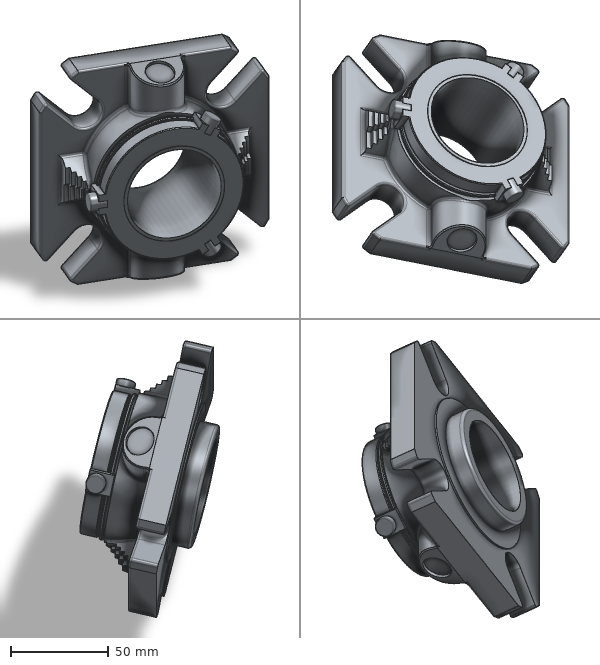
import cadquery as cq
import math

flange_side = 124.5
flange_thickness = 15.0
flange_edge_round = 1.2

overall_length = 57.6
rear_face_x = -10.8
front_face_x = rear_face_x + overall_length
bore_dia = 50.8
rear_sleeve_dia = 65.2
rear_sleeve_round = 1.6
front_sleeve_dia = 54.5
pilot_disc_dia = 84.0
pilot_disc_height = 0.9

slot_width = 17.7
slot_center = 37.1
corner_chamfer_start = 41.5
corner_chamfer_slope = 0.64
corner_tip_round = 1.5

hub_base_dia = 80.2
hub_end_dia = 78.9
hub_end_x = 33.1
hub_seam_angle = 45.0
foot_round = 2.1
hub_step_dia = 75.7
seal_ring_dia = 77.2
seal_ring_x = 34.2
seal_ring_end_x = 36.2
seal_ring_chamfer = 0.5

collar_dia = 75.7
collar_x = 37.3
collar_end_x = 46.4
collar_chamfer = 0.5
pad_x = 33.5
pad_width = 11.6
pad_inner_radius = 36.2
pad_outer_radius = 40.8
screw_dia = 10.0
screw_x = 41.8
screw_top_radius = 45.2
screw_edge_round = 0.4
screw_count = 3
first_screw_angle = 180.0

boss_radius = 14.2
boss_center_x = 18.5
boss_root_x = flange_thickness - flange_edge_round
boss_slope = math.radians(20.0)
boss_slope_x = 15.4
boss_rim_chamfer = 0.6
recess_dia = 15.3
recess_depth = 1.9
recess_x = 23.8

rib_center_z = 0.6
rib_base_half_width = 13.6
rib_apex_x = 35.5
rib_tip_round = 5.0
first_step_x = 20.9
step_pitch = 2.55
step_heights = (50.3, 47.8, 45.5, 43.4, 41.7)
step_jog = 0.9

slab_side = 149.4
tolerance = 0.02
edge_places = (0.1, 0.5, 0.9)


def disc(diameter, start_x, end_x):
    return cq.Workplane("YZ").workplane(offset=start_x).circle(diameter / 2).extrude(end_x - start_x)


def hub_radius(x):
    taper = (hub_base_dia - hub_end_dia) / 2 / (hub_end_x - flange_thickness)
    return hub_base_dia / 2 - taper * (x - flange_thickness)


def boss_top(x):
    return flange_side / 2 - (x - boss_slope_x) * math.tan(boss_slope)


def make_flange():
    half = flange_side / 2
    slot_line = slot_width / math.sqrt(2)
    reach = slot_line / 2
    corner_height = half + corner_chamfer_slope * corner_chamfer_start
    tip_y = (corner_height - slot_line) / (1 + corner_chamfer_slope)
    tip_z = tip_y + slot_line

    outline = cq.Workplane("YZ").moveTo(-corner_chamfer_start, half)
    for quarter in range(4):
        angle = -quarter * math.pi / 2

        def turned(y, z):
            return (y * math.cos(angle) - z * math.sin(angle),
                    y * math.sin(angle) + z * math.cos(angle))

        outline = outline.lineTo(*turned(corner_chamfer_start, half))
        outline = outline.lineTo(*turned(tip_y, tip_z))
        outline = outline.lineTo(*turned(slot_center - reach, slot_center + reach))
        outline = outline.threePointArc(turned(slot_center - reach, slot_center - reach),
                                        turned(slot_center + reach, slot_center - reach))
        outline = outline.lineTo(*turned(tip_z, tip_y))
        outline = outline.lineTo(*turned(half, corner_chamfer_start))
    plate = outline.close().extrude(flange_thickness)

    def is_tip(edge):
        near, far = sorted((abs(edge.Center().y), abs(edge.Center().z)))
        return abs(near - tip_y) < tolerance and abs(far - tip_z) < tolerance

    tips = [edge for edge in plate.edges("|X").vals() if is_tip(edge)]
    plate = plate.newObject(tips).fillet(corner_tip_round)
    return plate.faces(">X").edges().fillet(flange_edge_round)


def make_hub():
    """Conical hub, running past its end so that the foot blends can be trimmed there."""
    past_end_x = hub_end_x + 2 * foot_round
    cone = (cq.Workplane("XY").moveTo(0, 0).lineTo(0, hub_radius(flange_thickness))
            .lineTo(flange_thickness, hub_radius(flange_thickness))
            .lineTo(past_end_x, hub_radius(past_end_x))
            .lineTo(past_end_x, 0).close().revolve(360, (0, 0, 0), (1, 0, 0)))
    return cone.rotate((0, 0, 0), (1, 0, 0), hub_seam_angle)


def make_boss_bar():
    """Both bosses as one D-shaped bar along Z, still without the sloped tops."""
    return (cq.Workplane("XY").moveTo(0, -boss_radius).lineTo(boss_center_x, -boss_radius)
            .threePointArc((boss_center_x + boss_radius, 0), (boss_center_x, boss_radius))
            .lineTo(0, boss_radius).close().extrude(slab_side / 2, both=True))


def make_envelope():
    """The space between the two sloped boss tops, inside the flange square and short of the hub end."""
    half = flange_side / 2
    outline = (cq.Workplane("XZ").moveTo(boss_root_x, -half).lineTo(boss_root_x, half)
               .lineTo(boss_slope_x, half).lineTo(hub_end_x, boss_top(hub_end_x))
               .lineTo(hub_end_x, -boss_top(hub_end_x)).lineTo(boss_slope_x, -half).close())
    return outline.extrude(half, both=True)


def make_recess():
    plane = cq.Plane((recess_x, 0, boss_top(recess_x)), (0, 1, 0),
                     (math.sin(boss_slope), 0, math.cos(boss_slope)))
    return cq.Workplane(plane).circle(recess_dia / 2).extrude(-recess_depth)


def make_rib():
    """Triangular rib at -Y with a stair whose lower half is set back by one step."""
    root_half_width = rib_base_half_width * rib_apex_x / (rib_apex_x - flange_thickness)
    wedge = (cq.Workplane("XZ").moveTo(0, rib_center_z - root_half_width)
             .lineTo(rib_apex_x, rib_center_z)
             .lineTo(0, rib_center_z + root_half_width).close().extrude(max(step_heights))
             .edges(">X").fillet(rib_tip_round))

    stairs = None
    for index, height in enumerate(step_heights):
        upper_x = first_step_x + index * step_pitch
        lower_x = upper_x - step_pitch
        if index == len(step_heights) - 1:
            upper_x = rib_apex_x
            lower_x = rib_apex_x
        step = (cq.Workplane("XZ").moveTo(0, -root_half_width).lineTo(lower_x, -root_half_width)
                .lineTo(lower_x, -step_jog).lineTo(upper_x, step_jog)
                .lineTo(upper_x, 2 * root_half_width).lineTo(0, 2 * root_half_width)
                .close().extrude(height))
        stairs = step if stairs is None else stairs.union(step)
    return wedge.intersect(stairs)


def is_foot_edge(edge):
    """True for the inner corner edges where bosses, ribs and hub meet each other or the flange."""
    for place in edge_places:
        point = edge.positionAt(place)
        inside_slab = max(abs(point.y), abs(point.z)) < slab_side / 2 - tolerance
        on_flange = inside_slab and abs(point.x - flange_thickness) < tolerance
        off_hub = abs(math.hypot(point.y, point.z) - hub_radius(point.x))
        on_hub = off_hub < tolerance and point.x < hub_end_x and edge.geomType() != "LINE"
        if not (on_flange or on_hub):
            return False
    return True


def is_boss_rim(edge):
    """True for the curved rim of a sloped boss top."""
    for place in edge_places:
        point = edge.positionAt(place)
        off_top = abs(abs(point.z) - boss_top(point.x))
        if off_top > tolerance or point.x < boss_center_x - tolerance:
            return False
    return True


def make_casting():
    """Hub, bosses and ribs with blended feet, raised on a slab that is cut away again."""
    slab = cq.Workplane("XY").box(flange_thickness, slab_side, slab_side)
    slab = slab.translate((flange_thickness / 2, 0, 0))
    bosses = make_boss_bar()
    rib = make_rib()
    opposite_rib = rib.rotate((0, 0, 0), (1, 0, 0), 180)
    casting = slab.union(make_hub()).union(bosses).union(rib).union(opposite_rib)

    feet = [edge for edge in casting.edges().vals() if is_foot_edge(edge)]
    casting = casting.newObject(feet).fillet(foot_round)
    casting = casting.cut(slab.cut(bosses)).intersect(make_envelope())

    rims = [edge for edge in casting.edges().vals() if is_boss_rim(edge)]
    casting = casting.newObject(rims).chamfer(boss_rim_chamfer)
    recess = make_recess()
    return casting.cut(recess).cut(recess.mirror("XY"))


def make_screw_pad(angle):
    pad = (cq.Workplane("XY").moveTo(pad_x, pad_inner_radius).lineTo(collar_end_x, pad_inner_radius)
           .lineTo(collar_end_x, pad_outer_radius).lineTo(pad_x, pad_outer_radius).close()
           .extrude(pad_width / 2, both=True))
    screw = (cq.Workplane("XZ", origin=(screw_x, pad_inner_radius, 0)).circle(screw_dia / 2)
             .extrude(pad_inner_radius - screw_top_radius)
             .faces(">Y").edges().fillet(screw_edge_round))
    return pad.union(screw).rotate((0, 0, 0), (1, 0, 0), angle)


rear_sleeve = disc(rear_sleeve_dia, rear_face_x, 0).faces("<X").edges().fillet(rear_sleeve_round)
pilot_disc = disc(pilot_disc_dia, -pilot_disc_height, 0)
hub_step = disc(hub_step_dia, hub_end_x, seal_ring_x)
seal_ring = disc(seal_ring_dia, seal_ring_x, seal_ring_end_x).edges().chamfer(seal_ring_chamfer)
front_sleeve = disc(front_sleeve_dia, 0, front_face_x)
collar = disc(collar_dia, collar_x, collar_end_x).edges().chamfer(collar_chamfer)

result = make_flange().union(make_casting())
for turned_part in (rear_sleeve, pilot_disc, hub_step, seal_ring, front_sleeve, collar):
    result = result.union(turned_part)
for screw in range(screw_count):
    result = result.union(make_screw_pad(first_screw_angle + screw * 360 / screw_count))
result = result.cut(disc(bore_dia, rear_face_x, front_face_x))